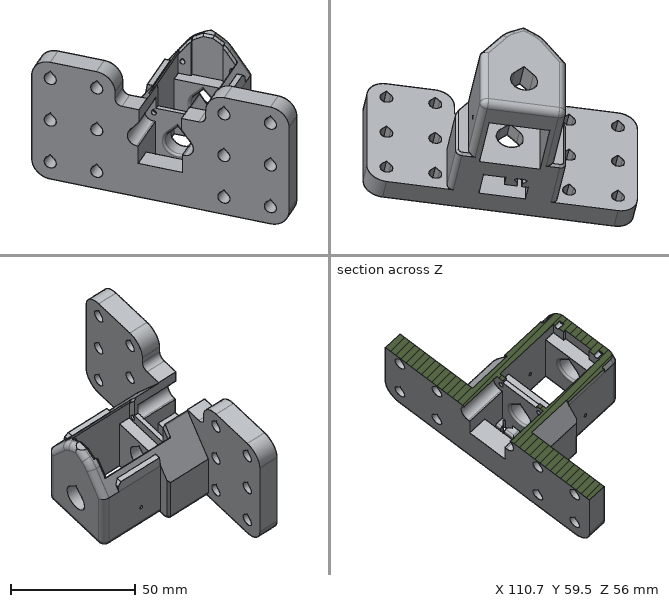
import cadquery as cq
import math

PLATE_WIDTH = 110.71
PLATE_HEIGHT = 56.0
PLATE_THICKNESS = 9.0
PLATE_CORNER_RADIUS = 8.0
NOTCH_WIDTH = 39.0
NOTCH_FLOOR_Z = 41.9
NOTCH_INNER_RADIUS = 3.0
BOLT_RADIUS = 2.6
BOLT_INSET = 8.0
BOLT_PITCH = 20.0
BOLT_ROWS = 3
BOLT_INNER_X = 27.35

TOTAL_DEPTH = 59.5
SHOULDER_HALF_WIDTH = 22.5
SHOULDER_END_Y = 29.7
SHOULDER_BEVEL = 1.0
SHOULDER_BOTTOM_RADIUS = 2.5
BODY_HALF_WIDTH = 17.5
BODY_SIDE_Z = 30.1
BODY_EDGE_RADIUS = 3.0
ROOF_SLOPE = math.radians(53.8)
CROWN_SLOPE = math.radians(30)
CROWN_BLEND_RADIUS = 13.0
TOP_Z = 46.5
TOP_FLAT_HALF_WIDTH = 2.35

CAVITY_HALF_WIDTH = 12.4
CAVITY_FRONT_Y = 21.6
CAVITY_BACK_Y = 53.6
RECESS_HALF_WIDTH = 6.83
RECESS_DEPTH = 1.1
LEDGE_Z = 26.3
LEDGE_DEPTH = 5.0
BACK_LEDGE_DEPTH = 4.7
RIM_BEVEL = 1.0
RIM_WALL_DEPTH = 5.0
SIDE_BEVEL_WIDTH = 0.3
SIDE_BEVEL_DROP = 0.9

CHANNEL_HALF_WIDTH = 9.15
FRONT_WALL_Y = 19.6
FRONT_WALL_TOP_Z = 30.75
WINDOW_HALF_WIDTH = 9.5
WINDOW_FLOOR_Z = 16.1
SCREW_X = 10.2
SCREW_Z = 28.4
SCREW_RADIUS = 1.05
SCREW_CLEARANCE_RADIUS = 4.0
CLEARANCE_SLOPE = math.radians(51)
BACK_SCREW_X = 10.6
BACK_SCREW_Z = 32.1
BACK_SCREW_DEPTH = 3.0

ARCH_RADIUS = 5.5
ARCH_Z = 16.0
ARCH_ROUND = 1.0
RIB_TOP_Z = 34.4
RIB_TOP_HALF_WIDTH = 16.75
RIB_END_Y = 51.4
RIB_END_BEVEL = 1.7
TIE_HOLE_RADIUS = 0.7
TIE_HOLE_Y = 39.7
TIE_HOLE_Z = 11.5
CLIP_END_X = 0.3
CLIP_FRONT_Y = 15.6
CLIP_HEIGHT = 5.0
CLIP_EDGE_RADIUS = 0.95
CLIP_HOLE_X = -5.85
CLIP_HOLE_Y = 18.9
CLIP_HOLE_HALF_DIAGONAL = 2.6
CLIP_SLOT_WIDTH = 1.9

SIDES = (-1, 1)


def block(x0, x1, y0, y1, z0, z1):
    """Axis-aligned box between two corners."""
    return cq.Workplane("XY").box(x1 - x0, y1 - y0, z1 - z0, centered=False).translate((x0, y0, z0))


def section(y):
    """Workplane at depth y with local axes X and Z; extrude by a negative length to go toward +Y."""
    return cq.Workplane("XZ", origin=(0, y, 0))


def teardrop(plane, u, v, radius):
    """Circle with a 45 degree peak pointing along the second local axis of the plane."""
    tangent = radius * math.sqrt(0.5)
    return (
        plane.moveTo(u - tangent, v + tangent)
        .threePointArc((u, v - radius), (u + tangent, v + tangent))
        .lineTo(u, v + radius * math.sqrt(2))
        .close()
    )


def teardrop_hole(x, z, radius, y0, y1):
    return teardrop(section(y0), x, z, radius).extrude(y0 - y1)


def roof_z(x):
    """Height of the steep roof plane at distance x from the centre plane."""
    return BODY_SIDE_Z + (BODY_HALF_WIDTH - abs(x)) * math.tan(ROOF_SLOPE)


def roof_prism(half_width, y0, y1):
    """Prism with a peaked roof: steep flanks, rounded into a shallower crown."""
    apex_z = TOP_Z + TOP_FLAT_HALF_WIDTH * math.tan(CROWN_SLOPE)
    knee_x = (roof_z(0) - apex_z) / (math.tan(ROOF_SLOPE) - math.tan(CROWN_SLOPE))
    knee_z = roof_z(knee_x)
    outline = [
        (-half_width, 0),
        (half_width, 0),
        (half_width, roof_z(half_width)),
        (knee_x, knee_z),
        (0, apex_z),
        (-knee_x, knee_z),
        (-half_width, roof_z(half_width)),
    ]
    prism = section(y0).polyline(outline).close().extrude(y0 - y1)
    for side in SIDES:
        knee = cq.selectors.NearestToPointSelector((side * knee_x, (y0 + y1) / 2, knee_z))
        prism = prism.edges(knee).fillet(CROWN_BLEND_RADIUS)
    return prism


def trim_top(solid):
    return solid.intersect(block(-PLATE_WIDTH, PLATE_WIDTH, 0, TOTAL_DEPTH, 0, TOP_Z))


def plate():
    half = PLATE_WIDTH / 2
    slab = block(-half, half, 0, PLATE_THICKNESS, 0, PLATE_HEIGHT)
    notch_half = NOTCH_WIDTH / 2
    slab = slab.cut(block(-notch_half, notch_half, 0, PLATE_THICKNESS, NOTCH_FLOOR_Z, PLATE_HEIGHT))
    for side in SIDES:
        inner_corner = (side * notch_half, PLATE_THICKNESS / 2, NOTCH_FLOOR_Z)
        slab = slab.edges(cq.selectors.NearestToPointSelector(inner_corner)).fillet(NOTCH_INNER_RADIUS)
    slab = slab.edges("|Y").edges("<Z or >Z").fillet(PLATE_CORNER_RADIUS)
    for side in SIDES:
        for x in (BOLT_INNER_X, BOLT_INNER_X + BOLT_PITCH):
            for row in range(BOLT_ROWS):
                z = BOLT_INSET + row * BOLT_PITCH
                slab = slab.cut(teardrop_hole(side * x, z, BOLT_RADIUS, 0, PLATE_THICKNESS))
    return slab


def shoulder():
    """Wide part of the housing just behind the plate."""
    solid = roof_prism(SHOULDER_HALF_WIDTH, PLATE_THICKNESS, SHOULDER_END_Y)
    solid = solid.edges("|Y and <Z").fillet(SHOULDER_BOTTOM_RADIUS)
    solid = solid.edges("|Z and >Y").chamfer(SHOULDER_BEVEL)
    return trim_top(solid)


def body():
    """Narrow rear part, rounded along its bottom and all around its back face."""
    solid = roof_prism(BODY_HALF_WIDTH, PLATE_THICKNESS, TOTAL_DEPTH)
    solid = solid.edges("|Y and <Z").fillet(BODY_EDGE_RADIUS)
    solid = solid.faces(">Y").edges().fillet(BODY_EDGE_RADIUS)
    return trim_top(solid)


def rib(side):
    """Small ridge lying on the roof flank with a bevelled rear end."""
    inner_x = BODY_HALF_WIDTH - (RIB_TOP_Z - BODY_SIDE_Z) / math.tan(ROOF_SLOPE)
    profile = [
        (side * BODY_HALF_WIDTH, BODY_SIDE_Z),
        (side * RIB_TOP_HALF_WIDTH, RIB_TOP_Z),
        (side * inner_x, RIB_TOP_Z),
    ]
    ridge = section(SHOULDER_END_Y).polyline(profile).close().extrude(SHOULDER_END_Y - RIB_END_Y)
    corner = [
        (RIB_END_Y - RIB_END_BEVEL, RIB_TOP_Z),
        (RIB_END_Y, RIB_TOP_Z),
        (RIB_END_Y, RIB_TOP_Z - RIB_END_BEVEL),
    ]
    bevel = cq.Workplane("YZ").polyline(corner).close().extrude(BODY_HALF_WIDTH, both=True)
    return ridge.cut(bevel)


def cavity():
    """Open-bottomed pocket with a stepped ledge at its front and back ends."""
    w = CAVITY_HALF_WIDTH
    upper = block(-w, w, CAVITY_FRONT_Y, CAVITY_BACK_Y, LEDGE_Z, PLATE_HEIGHT)
    lower = block(-w, w, CAVITY_FRONT_Y + LEDGE_DEPTH, CAVITY_BACK_Y - BACK_LEDGE_DEPTH, 0, LEDGE_Z)
    recess = block(
        -RECESS_HALF_WIDTH, RECESS_HALF_WIDTH,
        CAVITY_BACK_Y, CAVITY_BACK_Y + RECESS_DEPTH,
        LEDGE_Z, PLATE_HEIGHT,
    )
    return upper.union(lower).union(recess)


def rim_bevel(half_width, wall_y, wall_side):
    """Cutter that bevels the roof edge of a wall whose cavity face lies at wall_y.

    wall_side is +1 for a wall behind that face and -1 for a wall in front of it.
    """
    far_y = wall_y + wall_side * RIM_WALL_DEPTH
    wall = trim_top(roof_prism(SHOULDER_HALF_WIDTH, min(wall_y, far_y), max(wall_y, far_y)))
    cavity_face = "<Y" if wall_side > 0 else ">Y"
    wall = wall.faces(cavity_face).edges().chamfer(RIM_BEVEL)
    bevel_y = wall_y + wall_side * RIM_BEVEL
    strip = block(
        -half_width, half_width,
        min(wall_y, bevel_y), max(wall_y, bevel_y),
        BODY_SIDE_Z, PLATE_HEIGHT,
    )
    return strip.cut(wall)


def side_bevel(side):
    """Cutter for the narrow bevel along the roof edge of a side wall."""
    outer_x = CAVITY_HALF_WIDTH + SIDE_BEVEL_WIDTH
    edge_z = roof_z(outer_x)
    profile = [
        (side * CAVITY_HALF_WIDTH, edge_z - SIDE_BEVEL_DROP),
        (side * outer_x, edge_z),
        (side * outer_x, PLATE_HEIGHT),
        (side * CAVITY_HALF_WIDTH, PLATE_HEIGHT),
    ]
    start_y = CAVITY_FRONT_Y - RIM_BEVEL
    end_y = CAVITY_BACK_Y + RIM_BEVEL
    return section(start_y).polyline(profile).close().extrude(start_y - end_y)


def screw_clearance(side):
    """Round channel for a screw head, its outer flank rising tangentially into the front channel."""
    tangent_x = SCREW_X + SCREW_CLEARANCE_RADIUS * math.sin(CLEARANCE_SLOPE)
    tangent_z = SCREW_Z + SCREW_CLEARANCE_RADIUS * math.cos(CLEARANCE_SLOPE)
    flank_top_z = tangent_z + (tangent_x - CHANNEL_HALF_WIDTH) * math.tan(CLEARANCE_SLOPE)
    low_z = SCREW_Z - SCREW_CLEARANCE_RADIUS
    middle_x = SCREW_X + SCREW_CLEARANCE_RADIUS
    profile = (
        section(0)
        .moveTo(0, low_z)
        .lineTo(side * SCREW_X, low_z)
        .threePointArc((side * middle_x, SCREW_Z), (side * tangent_x, tangent_z))
        .lineTo(side * CHANNEL_HALF_WIDTH, flank_top_z)
        .lineTo(0, flank_top_z)
        .close()
    )
    return profile.extrude(-FRONT_WALL_Y)


def front_opening():
    """Channel, window and screw clearances cut in from the front, leaving the low front wall."""
    c = CHANNEL_HALF_WIDTH
    w = WINDOW_HALF_WIDTH
    low_z = SCREW_Z - SCREW_CLEARANCE_RADIUS
    opening = block(-c, c, 0, FRONT_WALL_Y, low_z, PLATE_HEIGHT)
    opening = opening.union(block(-w, w, 0, FRONT_WALL_Y, WINDOW_FLOOR_Z, low_z))
    opening = opening.union(block(-w, w, PLATE_THICKNESS, FRONT_WALL_Y, 0, WINDOW_FLOOR_Z))
    opening = opening.union(block(-c, c, FRONT_WALL_Y, CAVITY_FRONT_Y, FRONT_WALL_TOP_Z, PLATE_HEIGHT))
    for side in SIDES:
        opening = opening.union(screw_clearance(side))
    return opening


def cut_arch(part):
    """Teardrop passage through front wall, ledges and back wall, with two rounded mouths facing -Y."""
    part = part.cut(teardrop_hole(0, ARCH_Z, ARCH_RADIUS, FRONT_WALL_Y, TOTAL_DEPTH))
    reach = ARCH_RADIUS * math.sqrt(2) + ARCH_ROUND / 2
    for face_y in (FRONT_WALL_Y, CAVITY_BACK_Y - BACK_LEDGE_DEPTH):
        mouth = cq.selectors.BoxSelector(
            (-reach, face_y - ARCH_ROUND / 2, ARCH_Z - reach),
            (reach, face_y + ARCH_ROUND / 2, ARCH_Z + reach),
            boundingbox=True,
        )
        part = part.edges(mouth).fillet(ARCH_ROUND)
    return part


def tie_hole():
    """Small teardrop hole across both side walls."""
    plane = cq.Workplane("YZ")
    return teardrop(plane, TIE_HOLE_Y, TIE_HOLE_Z, TIE_HOLE_RADIUS).extrude(BODY_HALF_WIDTH, both=True)


def cable_clip():
    """Low tab beside the front wall with a diamond keyhole for a cable, open toward -Y."""
    tab = block(-WINDOW_HALF_WIDTH, CLIP_END_X, CLIP_FRONT_Y, FRONT_WALL_Y, 0, CLIP_HEIGHT)
    tab = tab.faces(">Z").edges("<Y or >X").fillet(CLIP_EDGE_RADIUS)
    d = CLIP_HOLE_HALF_DIAGONAL
    diamond = [(d, 0), (0, d), (-d, 0), (0, -d)]
    keyhole = cq.Workplane("XY", origin=(CLIP_HOLE_X, CLIP_HOLE_Y, 0))
    keyhole = keyhole.polyline(diamond).close().extrude(CLIP_HEIGHT)
    slot_half = CLIP_SLOT_WIDTH / 2
    slot = block(CLIP_HOLE_X - slot_half, CLIP_HOLE_X + slot_half, CLIP_FRONT_Y, CLIP_HOLE_Y, 0, CLIP_HEIGHT)
    return tab.cut(keyhole).cut(slot)


def build():
    part = plate().union(shoulder()).union(body())
    for side in SIDES:
        part = part.union(rib(side))
    part = part.cut(cavity()).cut(front_opening())
    part = part.cut(rim_bevel(CAVITY_HALF_WIDTH, CAVITY_BACK_Y, 1))
    part = part.cut(rim_bevel(RECESS_HALF_WIDTH, CAVITY_BACK_Y + RECESS_DEPTH, 1))
    part = part.cut(rim_bevel(CAVITY_HALF_WIDTH, CAVITY_FRONT_Y, -1))
    for side in SIDES:
        part = part.cut(side_bevel(side))
        part = part.cut(teardrop_hole(side * SCREW_X, SCREW_Z, SCREW_RADIUS, FRONT_WALL_Y, CAVITY_FRONT_Y))
        back_end = CAVITY_BACK_Y + BACK_SCREW_DEPTH
        part = part.cut(
            teardrop_hole(side * BACK_SCREW_X, BACK_SCREW_Z, SCREW_RADIUS, CAVITY_BACK_Y, back_end)
        )
    part = cut_arch(part).cut(tie_hole())
    return part.union(cable_clip())


result = build()